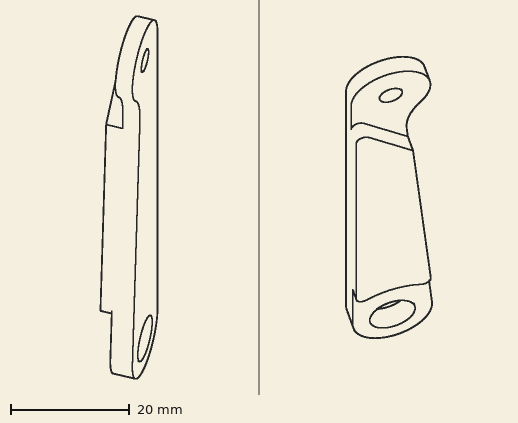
import cadquery as cq
import math

length = 83.4
end_radius = 7.0
small_bore = 4.0
large_bore = 8.0
total_thickness = 5.9
head_step = 2.9
tail_step = 2.0
taper_angle = math.radians(4.2)
neck_radius = 10.0
tail_step_radius = 11.5
shoulder_height = 64.9
shoulder_angle = math.radians(46)
pad_corner_radius = 1.25

head_z = length - 2 * end_radius

along = (math.sin(taper_angle), math.cos(taper_angle))
outward = (-math.cos(taper_angle), math.sin(taper_angle))
taper_start = (end_radius * outward[0], end_radius * outward[1])

neck_offset = end_radius + neck_radius
head_along = head_z * along[1]
head_outward = head_z * outward[1]
neck_along = head_along - math.sqrt(neck_offset**2 - (neck_offset - head_outward)**2)


def taper_point(distance, offset):
    """Point at a distance along the taper direction and an offset from the tail centre."""
    return (
        distance * along[0] + offset * outward[0],
        distance * along[1] + offset * outward[1],
    )


def on_circle(center, radius, toward):
    """Point of a circle in the direction of another point."""
    dy = toward[0] - center[0]
    dz = toward[1] - center[1]
    scale = radius / math.hypot(dy, dz)
    return (center[0] + dy * scale, center[1] + dz * scale)


def arm():
    head_center = (0, head_z)
    neck_center = taper_point(neck_along, neck_offset)
    neck_start = taper_point(neck_along, end_radius)
    neck_end = on_circle(head_center, end_radius, neck_center)
    chord_middle = ((neck_start[0] + neck_end[0]) / 2, (neck_start[1] + neck_end[1]) / 2)
    neck_middle = on_circle(neck_center, neck_radius, chord_middle)
    return (
        cq.Workplane("YZ")
        .moveTo(end_radius, 0)
        .threePointArc((0, -end_radius), taper_start)
        .lineTo(*neck_start)
        .threePointArc(neck_middle, neck_end)
        .threePointArc((0, length - end_radius), (end_radius, head_z))
        .close()
        .extrude(total_thickness)
    )


def pad():
    """Raised middle region, with its narrow side running past the taper of the arm."""
    lower_taper = taper_point(math.sqrt(tail_step_radius**2 - end_radius**2), end_radius)
    lower_straight = (end_radius, math.sqrt(tail_step_radius**2 - end_radius**2))
    slope = math.tan(shoulder_angle)
    start_rise = shoulder_height + slope * (taper_start[0] - end_radius) - taper_start[1]
    shoulder_distance = start_rise / (along[1] - slope * along[0])
    upper_taper = taper_point(shoulder_distance, end_radius)
    outline = (
        cq.Workplane("YZ")
        .moveTo(*lower_straight)
        .threePointArc((0, tail_step_radius), lower_taper)
        .lineTo(*upper_taper)
        .lineTo(end_radius, shoulder_height)
        .close()
        .extrude(total_thickness)
    )
    rounded_corners = [lower_straight, lower_taper, (end_radius, shoulder_height)]
    for y, z in rounded_corners:
        corner = cq.selectors.NearestToPointSelector((total_thickness / 2, y, z))
        outline = outline.edges("|X").edges(corner).fillet(pad_corner_radius)
    return outline


def step(depth, bottom, top):
    """Slab above the arm face between two heights, minus the pad outline."""
    slab = cq.Workplane("XY").box(
        depth, 2 * length, top - bottom, centered=(False, True, False)
    )
    return slab.translate((0, 0, bottom)).cut(pad())


def bore(diameter, z):
    return cq.Workplane("YZ").center(0, z).circle(diameter / 2).extrude(total_thickness)


middle_z = head_z / 2
result = (
    arm()
    .cut(step(head_step, middle_z, length))
    .cut(step(tail_step, -length, middle_z))
    .cut(bore(small_bore, head_z))
    .cut(bore(large_bore, 0))
)